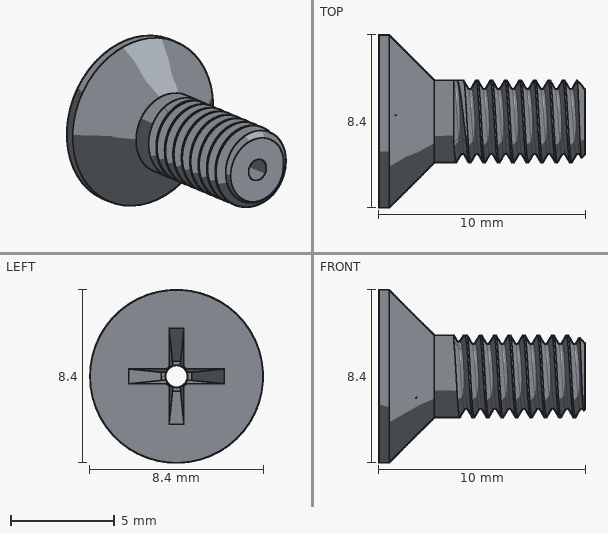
import math

import cadquery as cq

length = 10.0
head_radius = 4.2
rim_thickness = 0.5
shank_radius = 2.0
tip_chamfer = 0.4
bore_radius = 0.53

head_height = rim_thickness + head_radius - shank_radius

pitch = 0.7
flank_angle = math.radians(30)
sharp_height = pitch / 2 / math.tan(flank_angle)
crest_width = pitch / 8
root_radius = sharp_height / 6
groove_half_width = (pitch - crest_width) / 2
thread_depth = sharp_height * 17 / 24
groove_clearance = 0.1

seam_x = 3.94
seam_angle = -150.0
runout_angle = 150.0
runout_steps = 24

recess_depth = 2.45
face_reach = 2.32
face_half_width = 0.36
floor_reach = 0.59
floor_half_width = 0.18
floor_cone_angle = math.radians(15)

facet_start = 0.48
face_ridge = 0.41


def make_blank():
    """Head, shank and chamfered tip, turned about X."""
    return (
        cq.Workplane("XY")
        .moveTo(0, 0)
        .lineTo(0, head_radius)
        .lineTo(rim_thickness, head_radius)
        .lineTo(head_height, shank_radius)
        .lineTo(length - tip_chamfer, shank_radius)
        .lineTo(length, shank_radius - tip_chamfer)
        .lineTo(length, 0)
        .close()
        .revolve(360, (0, 0, 0), (1, 0, 0))
    )


def sweep_groove(path):
    """Groove swept along a path that starts on the shank surface and winds about Z,
    then laid along X with its start at the seam."""
    outer = shank_radius + groove_clearance
    outer_half_width = groove_half_width + groove_clearance * math.tan(flank_angle)
    root = shank_radius - thread_depth
    arc_half_width = root_radius * math.cos(flank_angle)
    arc_end = root + root_radius * (1 - math.sin(flank_angle))
    return (
        cq.Workplane("XZ")
        .moveTo(outer, -outer_half_width)
        .lineTo(arc_end, -arc_half_width)
        .threePointArc((root, 0), (arc_end, arc_half_width))
        .lineTo(outer, outer_half_width)
        .close()
        .sweep(path, isFrenet=True)
        .rotate((0, 0, 0), (0, 1, 0), 90)
        .rotate((0, 0, 0), (1, 0, 0), seam_angle)
        .translate((seam_x, 0, 0))
    )


def make_thread_groove():
    """Full-depth groove from the seam until it has run off the tip."""
    run = length + pitch - seam_x
    return sweep_groove(cq.Workplane(cq.Wire.makeHelix(pitch, run, shank_radius)))


def make_runout_groove():
    """Groove that winds back from the seam and climbs steadily out of the shank."""
    rise = thread_depth + groove_clearance
    turn = math.radians(runout_angle)

    def path_point(t):
        radius = shank_radius + rise * t
        return (
            radius * math.cos(turn * t),
            -radius * math.sin(turn * t),
            -pitch * runout_angle / 360 * t,
        )

    return sweep_groove(cq.Workplane("XY").parametricCurve(path_point, N=runout_steps))


def cross_outline(reach, half_width, ridge):
    """Corners of the cross; ridge is the Y and Z offset of each inner corner."""
    arm = [
        (facet_start, -half_width),
        (reach, -half_width),
        (reach, half_width),
        (facet_start, half_width),
        (ridge, ridge),
    ]
    points = []
    for _ in range(4):
        points += arm
        arm = [(-v, u) for u, v in arm]
    return points


def make_recess():
    """Tapered cross whose floor is a shallow cone."""
    facet_slope = (face_ridge - face_half_width) / (facet_start - face_ridge)
    floor_ridge = (floor_half_width + facet_slope * facet_start) / (1 + facet_slope)
    cross = (
        cq.Workplane("YZ")
        .polyline(cross_outline(face_reach, face_half_width, face_ridge))
        .close()
        .workplane(offset=recess_depth)
        .polyline(cross_outline(floor_reach, floor_half_width, floor_ridge))
        .close()
        .loft(ruled=True)
    )
    cone_rim_x = recess_depth - head_radius * math.tan(floor_cone_angle)
    envelope = (
        cq.Workplane("XY")
        .polyline([(0, 0), (0, head_radius), (cone_rim_x, head_radius), (recess_depth, 0)])
        .close()
        .revolve(360, (0, 0, 0), (1, 0, 0))
    )
    return cross.intersect(envelope)


bore = cq.Workplane("YZ").circle(bore_radius).extrude(length)

result = (
    make_blank()
    .cut(make_thread_groove())
    .cut(make_runout_groove())
    .cut(make_recess())
    .cut(bore)
)